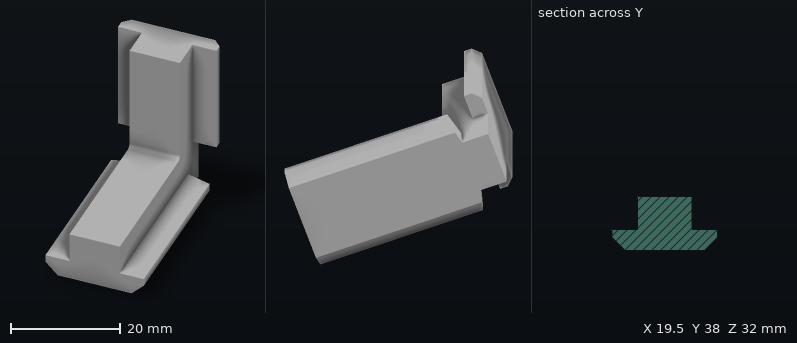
import cadquery as cq
import math

width = 19.5
length = 38.0
height = 32.0

web_width = 10.0
upright_depth = 9.0
base_height = 10.0
corner_radius = 1.0

back_flange_thickness = 3.0
back_chamfer = 1.5

bottom_flange_thickness = 3.9
bottom_chamfer = 2.45
bottom_flange_setback = 5.0
end_angle = 15.0

front_y = -length


def make_web():
    outline = [
        (0, 0),
        (front_y, 0),
        (front_y, base_height),
        (-upright_depth, base_height),
        (-upright_depth, height),
        (0, height),
    ]
    web = cq.Workplane("YZ").polyline(outline).close().extrude(web_width / 2, both=True)
    inner_corner = cq.selectors.NearestToPointSelector((0, -upright_depth, base_height))
    return web.edges(inner_corner).fillet(corner_radius)


def make_back_flange():
    return (
        cq.Workplane("XY", origin=(0, -back_flange_thickness / 2, base_height))
        .rect(width, back_flange_thickness)
        .extrude(height - base_height)
        .edges("|Z and >Y")
        .chamfer(back_chamfer)
    )


def make_bottom_flange():
    half_width = width / 2
    half_web = web_width / 2
    inner_y = -bottom_flange_setback
    outer_y = inner_y - (half_width - half_web) * math.tan(math.radians(end_angle))
    plan = [
        (-half_width, front_y),
        (half_width, front_y),
        (half_width, outer_y),
        (half_web, inner_y),
        (-half_web, inner_y),
        (-half_width, outer_y),
    ]
    bar = (
        cq.Workplane("XY", origin=(0, front_y / 2, 0))
        .rect(width, length)
        .extrude(bottom_flange_thickness)
        .edges("|Y and <Z")
        .chamfer(bottom_chamfer)
    )
    return bar.intersect(cq.Workplane("XY").polyline(plan).close().extrude(bottom_flange_thickness))


result = make_web().union(make_back_flange()).union(make_bottom_flange())